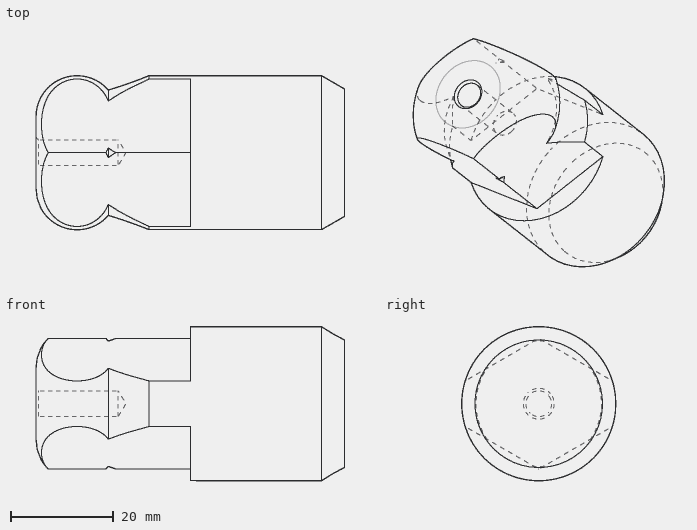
import cadquery as cq
import math

total_length = 60.0
body_radius = 15.0
end_chamfer_length = 4.5
end_chamfer_angle = 30.0

bead_radius = 8.0
front_face_radius = body_radius - bead_radius

neck_radius = 12.2
neck_start_x = bead_radius + math.sqrt(bead_radius**2 - (neck_radius - front_face_radius) ** 2)
neck_end_x = 22.0

flats_length = 30.0
across_flats = 22.0
flat_tilt = 30.0

hole_radius = 2.5
hole_mouth_radius = 3.0
hole_depth = 16.0
drill_point_angle = 118.0


def slope(degrees):
    """Rise per unit length at an angle in degrees."""
    return math.tan(math.radians(degrees))


def make_body():
    chamfer_drop = end_chamfer_length * slope(end_chamfer_angle)
    return (
        cq.Workplane("XY")
        .moveTo(0, 0)
        .lineTo(0, front_face_radius)
        .threePointArc((bead_radius, body_radius), (neck_start_x, neck_radius))
        .lineTo(neck_end_x, body_radius)
        .lineTo(total_length - end_chamfer_length, body_radius)
        .lineTo(total_length, body_radius - chamfer_drop)
        .lineTo(total_length, 0)
        .close()
        .revolve(360, (0, 0, 0), (1, 0, 0))
    )


def make_flats_cutter():
    """Everything outside the rhombus formed by the four flats."""
    corner_z = across_flats / 2 / math.cos(math.radians(flat_tilt))
    corner_y = corner_z / slope(flat_tilt)
    rhombus = [(corner_y, 0), (0, corner_z), (-corner_y, 0), (0, -corner_z)]
    cutter_size = 4 * corner_y
    return (
        cq.Workplane("YZ")
        .rect(cutter_size, cutter_size)
        .polyline(rhombus)
        .close()
        .extrude(flats_length)
    )


def make_hole():
    mouth_depth = hole_mouth_radius - hole_radius
    point_length = hole_radius / slope(drill_point_angle / 2)
    return (
        cq.Workplane("XY")
        .polyline(
            [
                (0, 0),
                (0, hole_mouth_radius),
                (mouth_depth, hole_radius),
                (hole_depth, hole_radius),
                (hole_depth + point_length, 0),
            ]
        )
        .close()
        .revolve(360, (0, 0, 0), (1, 0, 0))
    )


result = make_body().cut(make_flats_cutter()).cut(make_hole())